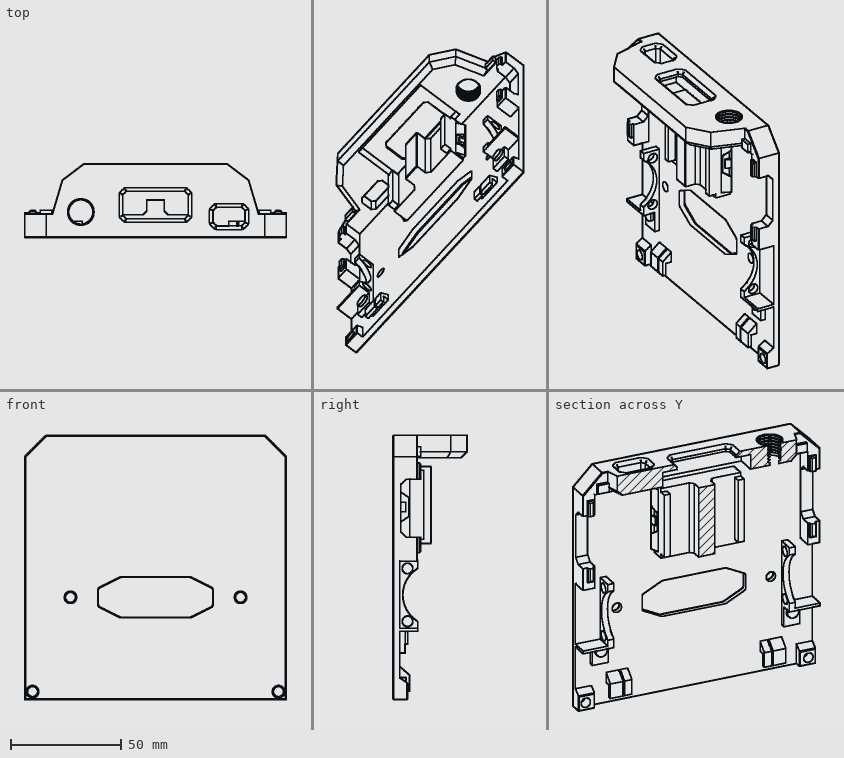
import cadquery as cq
import math

WIDTH = 118.8
HEIGHT = 120.0
HALF_WIDTH = WIDTH / 2
PLATE_THICKNESS = 3.1
TOP_CORNER_CUT = 9.7
FRONT_BEVEL = 0.4
REAR_BEVEL = 0.3

WALL_THICKNESS = 6.0
WALL_HEIGHT = 11.0
WALL_BOTTOM_Z = 62.8
RAIL_BOTTOM_Z = 109.7
NOTCH_BOTTOM_Z = 73.7
NOTCH_TOP_Z = 100.0
NOTCH_FLOOR_Y = 3.5
NOTCH_CORNER_CUT = 2.5

RIB_HEIGHT = 1.6
RIB_WIDTH = 3.0
RIB_INNER_X = 54.2
RIB_BOTTOM_Z = 66.6
RIB_TOP_Z = 107.4
RIB_EDGE_CUT = 0.7
PAD_INNER_X = 47.0
PAD_OUTER_X = 52.4
PAD_BOTTOM_Z = 110.5
PAD_TOP_Z = 114.8

SHELF_DEPTH = 33.6
SHELF_ROOT_X = 46.8
SHELF_SHOULDER_X = 42.3
SHELF_SHOULDER_Y = 26.2
SHELF_BACK_X = 32.5
SHELF_BEVEL = 2.7

SHELF_SKIN = 3.0
RECESS_HALF_X = 22.0
RECESS_Y = (7.0, 30.0)

OPENING_BEVEL = 1.7
BEVEL_ANGLE = 45.0
WIDE_OPENING_HALF_X = 16.5
WIDE_OPENING_Y = (7.0, 22.8)
SMALL_OPENING_X = (24.5, 42.3)
SMALL_OPENING_Y = (3.8, 15.6)
OPENING_CORNER_CUT = 2.5
THREAD_X = -33.9
THREAD_Y = 11.75
THREAD_MINOR_RADIUS = 5.5
THREAD_MAJOR_RADIUS = 6.0
THREAD_PITCH = 1.5
THREAD_BEVEL = 0.3

CONNECTOR_Z = 46.4
CONNECTOR_HALF_X = 26.2
CONNECTOR_HALF_Z = 9.3
CONNECTOR_FLAT_HALF_X = 16.0
CONNECTOR_SIDE_HALF_Z = 4.2
CONNECTOR_CORNER_RADIUS = 1.5
CONNECTOR_BEVEL = 0.3
SCREW_RADIUS = 2.3
SCREW_BEVEL = 0.5
CONNECTOR_SCREW_X = 38.6
CORNER_SCREW_X = 55.8
CORNER_SCREW_Z = 3.6

CRADLE_HALF_X = 20.0
CRADLE_CHEEK_THICKNESS = 3.0
CRADLE_BOTTOM_Z = 72.7
CRADLE_TOP_Z = 104.0
RAMP_GAP_Z = 87.4
CRADLE_BASE_Y = 10.5
CRADLE_CHEEK_Y = 14.0
CRADLE_RIDGE_Y = 17.4
CRADLE_RIDGE_HALF_X = 4.05
CRADLE_RIDGE_FOOT = 1.7
CRADLE_BASE_Z = (70.8, 105.8)
RAMP_TOP_Y = 7.6
RAMP_RUN = 1.6
RAMP_GAP_TOP_Y = 7.15
RAMP_GAP_FLOOR_HALF_Z = 6.8
RAMP_GAP_TOP_HALF_Z = 4.3
RAMP_GAP_RIB_HALF_Z = 2.15
RAMP_GAP_RIB_Y = 5.9

BRACKET_INNER_X = 44.0
BRACKET_THICKNESS = 3.0
BRACKET_Y = 11.3
BRACKET_BOTTOM_Z = 32.4
BRACKET_CENTRE_Z = 47.5
BRACKET_CUT_RADIUS = 14.0
BRACKET_CUT_FLOOR_Y = 4.5
BRACKET_CUT_Y = BRACKET_CUT_FLOOR_Y + BRACKET_CUT_RADIUS
BRACKET_HOLE_RADIUS = 2.35
BRACKET_HOLE_Y = 6.6
BRACKET_HOLE_SPACING = 24.0
BRACKET_LIP_HALF_Z = 12.2
BRACKET_LIP_CUT = 2.0
LEDGE_THICKNESS = 1.4

BOSS_PAD_BOTTOM_Z = 21.1
BOSS_PAD_Y = 5.5
BOSS_PAD_HALF_X = 4.0
BOSS_PAD_X = 48.0
BOSS_RADIUS = 2.8
BOSS_Y = 6.8
BOSS_Z = 28.0

CORNER_BLOCK_WIDTH = 8.0
CORNER_BLOCK_Y = 6.6
CORNER_BLOCK_STRAIGHT_Z = 7.5
CORNER_BLOCK_TOP_Z = 9.9
HOOK_INNER_X = 33.2
HOOK_SLOT_X = (36.9, 37.6)
HOOK_OUTER_X = 44.0
HOOK_Y = 7.6
HOOK_INNER_Y = 5.9
HOOK_BOTTOM_Z = 3.8
HOOK_SHOULDER_Z = 11.1
HOOK_TOP_Z = 15.0

OVERLAP = 0.5


def box(x_range, y_range, z_range):
    """Axis-aligned box between the given limits."""
    size = [high - low for low, high in (x_range, y_range, z_range)]
    origin = (x_range[0], y_range[0], z_range[0])
    return cq.Workplane("XY").box(*size, centered=False).translate(origin)


def side_prism(points, x_start, x_end):
    """Extrude a closed outline of (Y, Z) points along X."""
    outline = cq.Workplane("YZ").workplane(offset=x_start).polyline(points).close()
    return outline.extrude(x_end - x_start)


def y_cylinder(x, z, radius, y_start, y_end):
    profile = cq.Workplane("XZ").center(x, z).circle(radius)
    return profile.extrude(-(y_end - y_start)).translate((0, y_start, 0))


def both_sides(feature):
    """Pair a feature with its mirror image about the X = 0 plane."""
    return feature.union(feature.mirror("YZ"))


def front_outline():
    shoulder_x = HALF_WIDTH - TOP_CORNER_CUT
    shoulder_z = HEIGHT - TOP_CORNER_CUT
    points = [
        (-HALF_WIDTH, 0),
        (HALF_WIDTH, 0),
        (HALF_WIDTH, shoulder_z),
        (shoulder_x, HEIGHT),
        (-shoulder_x, HEIGHT),
        (-HALF_WIDTH, shoulder_z),
    ]
    return cq.Workplane("XZ").polyline(points).close()


def plate_with_walls():
    plate = front_outline().extrude(-WALL_HEIGHT).faces("<Y").chamfer(FRONT_BEVEL)
    plate = plate.faces(">Y").chamfer(REAR_BEVEL)
    inner_x = HALF_WIDTH - WALL_THICKNESS
    rear = (PLATE_THICKNESS, WALL_HEIGHT + OVERLAP)
    plate = plate.cut(box((-inner_x, inner_x), rear, (-OVERLAP, RAIL_BOTTOM_Z)))
    return plate.cut(box((-HALF_WIDTH, HALF_WIDTH), rear, (-OVERLAP, WALL_BOTTOM_Z)))


def wall_ribs_and_pads():
    top_y = WALL_HEIGHT + RIB_HEIGHT
    rib_x = (RIB_INNER_X, RIB_INNER_X + RIB_WIDTH)
    rib = box(rib_x, (WALL_HEIGHT - OVERLAP, top_y), (RIB_BOTTOM_Z, RIB_TOP_Z))
    rib = rib.faces(">Y").chamfer(RIB_EDGE_CUT)
    pad_x = (PAD_INNER_X, PAD_OUTER_X)
    pad = box(pad_x, (WALL_HEIGHT - OVERLAP, top_y), (PAD_BOTTOM_Z, PAD_TOP_Z))
    return both_sides(rib.union(pad))


def wall_notches():
    rear_y = WALL_HEIGHT + RIB_HEIGHT + OVERLAP
    points = [
        (rear_y, NOTCH_BOTTOM_Z),
        (NOTCH_FLOOR_Y + NOTCH_CORNER_CUT, NOTCH_BOTTOM_Z),
        (NOTCH_FLOOR_Y, NOTCH_BOTTOM_Z + NOTCH_CORNER_CUT),
        (NOTCH_FLOOR_Y, NOTCH_TOP_Z - NOTCH_CORNER_CUT),
        (NOTCH_FLOOR_Y + NOTCH_CORNER_CUT, NOTCH_TOP_Z),
        (rear_y, NOTCH_TOP_Z),
    ]
    start_x = HALF_WIDTH - WALL_THICKNESS - OVERLAP
    return both_sides(side_prism(points, start_x, HALF_WIDTH + OVERLAP))


def shelf():
    root_y = WALL_HEIGHT - OVERLAP
    points = [
        (-SHELF_ROOT_X, root_y),
        (SHELF_ROOT_X, root_y),
        (SHELF_ROOT_X, WALL_HEIGHT),
        (SHELF_SHOULDER_X, SHELF_SHOULDER_Y),
        (SHELF_BACK_X, SHELF_DEPTH),
        (-SHELF_BACK_X, SHELF_DEPTH),
        (-SHELF_SHOULDER_X, SHELF_SHOULDER_Y),
        (-SHELF_ROOT_X, WALL_HEIGHT),
    ]
    base = cq.Workplane("XY").workplane(offset=RAIL_BOTTOM_Z).polyline(points).close()
    body = base.extrude(HEIGHT - RAIL_BOTTOM_Z)
    behind_rail = cq.selectors.BoxSelector(
        (-HALF_WIDTH, WALL_HEIGHT + OVERLAP, RAIL_BOTTOM_Z - OVERLAP),
        (HALF_WIDTH, SHELF_DEPTH + OVERLAP, RAIL_BOTTOM_Z + OVERLAP),
    )
    return body.edges(behind_rail).chamfer(SHELF_BEVEL)


def bevelled_opening(x_range, y_range):
    """Cutter for a corner-cut opening through the shelf, bevelled at the top."""
    inner_x = (x_range[0] + OPENING_BEVEL, x_range[1] - OPENING_BEVEL)
    inner_y = (y_range[0] + OPENING_BEVEL, y_range[1] - OPENING_BEVEL)
    bevel_bottom = HEIGHT - OPENING_BEVEL
    inner_cut = OPENING_CORNER_CUT - OPENING_BEVEL * (2 - math.sqrt(2))
    through = box(inner_x, inner_y, (RAIL_BOTTOM_Z - OVERLAP, bevel_bottom))
    through = through.edges("|Z").chamfer(inner_cut)
    mouth_outline = through.faces(">Z").wires().toPending()
    mouth = mouth_outline.extrude(OPENING_BEVEL, taper=-BEVEL_ANGLE, combine=False)
    return through.union(mouth)


def shelf_openings():
    wide_x = (-WIDE_OPENING_HALF_X, WIDE_OPENING_HALF_X)
    recess_z = (RAIL_BOTTOM_Z - OVERLAP, HEIGHT - SHELF_SKIN)
    recess = box((-RECESS_HALF_X, RECESS_HALF_X), RECESS_Y, recess_z)
    wide = bevelled_opening(wide_x, WIDE_OPENING_Y).union(recess)
    return wide.union(bevelled_opening(SMALL_OPENING_X, SMALL_OPENING_Y))


def threaded_hole():
    """Cutter for the threaded hole, with each thread turn as a V-shaped ring groove."""
    bottom_z = RAIL_BOTTOM_Z - OVERLAP
    turns = math.floor((HEIGHT - RAIL_BOTTOM_Z) / THREAD_PITCH)
    points = [(0, bottom_z), (THREAD_MINOR_RADIUS, bottom_z)]
    for turn in range(turns, 0, -1):
        groove_z = HEIGHT - turn * THREAD_PITCH
        points.append((THREAD_MINOR_RADIUS, groove_z))
        points.append((THREAD_MAJOR_RADIUS, groove_z + THREAD_PITCH / 2))
    points += [(THREAD_MINOR_RADIUS, HEIGHT - THREAD_BEVEL), (THREAD_MAJOR_RADIUS, HEIGHT), (0, HEIGHT)]
    profile = cq.Workplane("XZ").polyline(points).close()
    return profile.revolve(360, (0, 0, 0), (0, 1, 0)).translate((THREAD_X, THREAD_Y, 0))


def connector_opening():
    points = [
        (-CONNECTOR_FLAT_HALF_X, -CONNECTOR_HALF_Z),
        (CONNECTOR_FLAT_HALF_X, -CONNECTOR_HALF_Z),
        (CONNECTOR_HALF_X, -CONNECTOR_SIDE_HALF_Z),
        (CONNECTOR_HALF_X, CONNECTOR_SIDE_HALF_Z),
        (CONNECTOR_FLAT_HALF_X, CONNECTOR_HALF_Z),
        (-CONNECTOR_FLAT_HALF_X, CONNECTOR_HALF_Z),
        (-CONNECTOR_HALF_X, CONNECTOR_SIDE_HALF_Z),
        (-CONNECTOR_HALF_X, -CONNECTOR_SIDE_HALF_Z),
    ]
    outline = cq.Workplane("XZ").center(0, CONNECTOR_Z).polyline(points).close()
    mouth = outline.extrude(-CONNECTOR_BEVEL * 2)
    mouth = mouth.edges("|Y").fillet(CONNECTOR_CORNER_RADIUS)
    mouth = mouth.faces(">Y").chamfer(CONNECTOR_BEVEL)
    return mouth.faces(">Y").wires().toPending().extrude(-PLATE_THICKNESS)


def screw_hole(x, z):
    mouth_radius = SCREW_RADIUS + SCREW_BEVEL
    centre = cq.Vector(x, 0, z)
    inward = cq.Vector(0, 1, 0)
    mouth = cq.Workplane(cq.Solid.makeCone(mouth_radius, SCREW_RADIUS, SCREW_BEVEL, centre, inward))
    return mouth.union(y_cylinder(x, z, SCREW_RADIUS, 0, WALL_HEIGHT))


def screw_holes():
    connector_screw = screw_hole(CONNECTOR_SCREW_X, CONNECTOR_Z)
    corner_screw = screw_hole(CORNER_SCREW_X, CORNER_SCREW_Z)
    return both_sides(connector_screw.union(corner_screw))


def cradle_ramp():
    """Sloped foot of one cheek, cut away in the middle except for a low rib."""
    root_y = PLATE_THICKNESS - OVERLAP
    run_end_x = CRADLE_HALF_X + RAMP_RUN
    points = [
        (CRADLE_HALF_X - OVERLAP, root_y),
        (run_end_x, root_y),
        (run_end_x, NOTCH_FLOOR_Y),
        (CRADLE_HALF_X, RAMP_TOP_Y),
        (CRADLE_HALF_X - OVERLAP, RAMP_TOP_Y),
    ]
    ramp = cq.Workplane("XY").workplane(offset=CRADLE_BOTTOM_Z).polyline(points).close()
    ramp = ramp.extrude(CRADLE_TOP_Z - CRADLE_BOTTOM_Z)
    gap_points = [
        (NOTCH_FLOOR_Y, RAMP_GAP_Z - RAMP_GAP_FLOOR_HALF_Z),
        (RAMP_GAP_TOP_Y, RAMP_GAP_Z - RAMP_GAP_TOP_HALF_Z),
        (RAMP_GAP_TOP_Y, RAMP_GAP_Z + RAMP_GAP_TOP_HALF_Z),
        (NOTCH_FLOOR_Y, RAMP_GAP_Z + RAMP_GAP_FLOOR_HALF_Z),
    ]
    gap = side_prism(gap_points, CRADLE_HALF_X, run_end_x)
    rib_z = (RAMP_GAP_Z - RAMP_GAP_RIB_HALF_Z, RAMP_GAP_Z + RAMP_GAP_RIB_HALF_Z)
    gap = gap.cut(box((CRADLE_HALF_X, run_end_x), (NOTCH_FLOOR_Y, RAMP_GAP_RIB_Y), rib_z))
    return ramp.cut(gap)


def cradle():
    root_y = PLATE_THICKNESS - OVERLAP
    z_range = (CRADLE_BOTTOM_Z, CRADLE_TOP_Z)
    cheek_x = (CRADLE_HALF_X - CRADLE_CHEEK_THICKNESS, CRADLE_HALF_X)
    cheek = box(cheek_x, (root_y, CRADLE_CHEEK_Y), z_range)
    foot_x = CRADLE_RIDGE_HALF_X + CRADLE_RIDGE_FOOT
    base_points = [
        (-CRADLE_HALF_X, root_y),
        (CRADLE_HALF_X, root_y),
        (CRADLE_HALF_X, CRADLE_BASE_Y),
        (foot_x, CRADLE_BASE_Y),
        (CRADLE_RIDGE_HALF_X, CRADLE_BASE_Y + CRADLE_RIDGE_FOOT),
        (CRADLE_RIDGE_HALF_X, CRADLE_RIDGE_Y),
        (-CRADLE_RIDGE_HALF_X, CRADLE_RIDGE_Y),
        (-CRADLE_RIDGE_HALF_X, CRADLE_BASE_Y + CRADLE_RIDGE_FOOT),
        (-foot_x, CRADLE_BASE_Y),
        (-CRADLE_HALF_X, CRADLE_BASE_Y),
    ]
    base = cq.Workplane("XY").workplane(offset=CRADLE_BASE_Z[0]).polyline(base_points).close()
    base = base.extrude(CRADLE_BASE_Z[1] - CRADLE_BASE_Z[0])
    base = base.faces(">Y").chamfer(REAR_BEVEL)
    return base.union(both_sides(cheek.union(cradle_ramp())))


def round_connector_brackets():
    root_y = PLATE_THICKNESS - OVERLAP
    outer_x = BRACKET_INNER_X + BRACKET_THICKNESS
    x_range = (BRACKET_INNER_X, outer_x)
    bracket = box(x_range, (root_y, BRACKET_Y), (BRACKET_BOTTOM_Z, WALL_BOTTOM_Z + OVERLAP))
    side_plane = cq.Workplane("YZ").workplane(offset=BRACKET_INNER_X)
    opening = side_plane.center(BRACKET_CUT_Y, BRACKET_CENTRE_Z).circle(BRACKET_CUT_RADIUS)
    bracket = bracket.cut(opening.extrude(BRACKET_THICKNESS))
    lip_inner_half_z = BRACKET_LIP_HALF_Z - BRACKET_LIP_CUT
    lip_points = [
        (BRACKET_Y, BRACKET_CENTRE_Z - BRACKET_LIP_HALF_Z),
        (BRACKET_Y - BRACKET_LIP_CUT, BRACKET_CENTRE_Z - lip_inner_half_z),
        (BRACKET_Y - BRACKET_LIP_CUT, BRACKET_CENTRE_Z + lip_inner_half_z),
        (BRACKET_Y, BRACKET_CENTRE_Z + BRACKET_LIP_HALF_Z),
    ]
    bracket = bracket.cut(side_prism(lip_points, *x_range))
    for direction in (-1, 1):
        hole_z = BRACKET_CENTRE_Z + direction * BRACKET_HOLE_SPACING / 2
        hole = side_plane.center(BRACKET_HOLE_Y, hole_z).circle(BRACKET_HOLE_RADIUS)
        bracket = bracket.cut(hole.extrude(BRACKET_THICKNESS))
    return both_sides(bracket)


def ledge_and_bosses():
    root_y = PLATE_THICKNESS - OVERLAP
    ledge_z = (BRACKET_BOTTOM_Z - LEDGE_THICKNESS, BRACKET_BOTTOM_Z)
    ledge = box((BRACKET_INNER_X, HALF_WIDTH), (root_y, BRACKET_Y), ledge_z)
    pad_x = (BOSS_PAD_X - BOSS_PAD_HALF_X, BOSS_PAD_X + BOSS_PAD_HALF_X)
    pad = box(pad_x, (root_y, BOSS_PAD_Y), (BOSS_PAD_BOTTOM_Z, BRACKET_BOTTOM_Z))
    boss = y_cylinder(BOSS_PAD_X, BOSS_Z, BOSS_RADIUS, root_y, BOSS_Y)
    return both_sides(ledge.union(pad).union(boss))


def corner_blocks():
    root_y = FRONT_BEVEL
    points = [
        (root_y, 0),
        (CORNER_BLOCK_Y, 0),
        (CORNER_BLOCK_Y, CORNER_BLOCK_STRAIGHT_Z),
        (PLATE_THICKNESS, CORNER_BLOCK_TOP_Z),
        (root_y, CORNER_BLOCK_TOP_Z),
    ]
    block = side_prism(points, HALF_WIDTH - CORNER_BLOCK_WIDTH, HALF_WIDTH)
    return both_sides(block.faces(">Y").chamfer(REAR_BEVEL))


def hooks():
    root_y = PLATE_THICKNESS - OVERLAP
    points = [
        (root_y, CORNER_BLOCK_TOP_Z),
        (HOOK_INNER_Y, CORNER_BLOCK_TOP_Z),
        (HOOK_INNER_Y, HOOK_BOTTOM_Z),
        (HOOK_Y, HOOK_BOTTOM_Z),
        (HOOK_Y, HOOK_SHOULDER_Z),
        (PLATE_THICKNESS, HOOK_TOP_Z),
        (root_y, HOOK_TOP_Z),
    ]
    inner_hook = side_prism(points, HOOK_INNER_X, HOOK_SLOT_X[0])
    outer_hook = side_prism(points, HOOK_SLOT_X[1], HOOK_OUTER_X)
    return both_sides(inner_hook.union(outer_hook))


body = plate_with_walls().union(wall_ribs_and_pads()).cut(wall_notches())
body = body.union(shelf()).cut(shelf_openings()).cut(threaded_hole())
body = body.union(cradle()).union(round_connector_brackets()).union(ledge_and_bosses())
body = body.union(corner_blocks()).union(hooks())
result = body.cut(connector_opening()).cut(screw_holes())